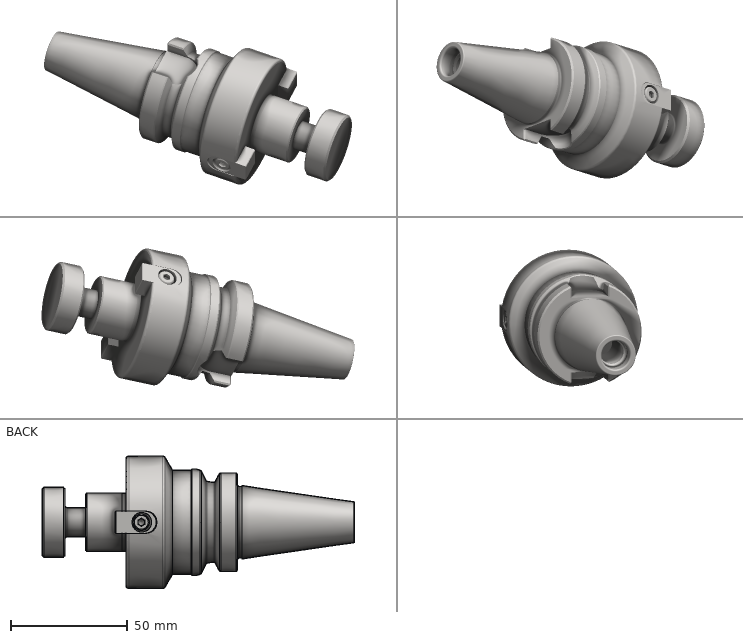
import cadquery as cq
import math

overall_length = 134.56

gauge_dia = 31.75
taper_length = 48.4
taper_ratio = 7 / 24
taper_tip_round = 0.5
tip_dia = gauge_dia - taper_length * taper_ratio

relief_radius = 15.5
relief_round = 0.7

flange_face = 2.0
flange_radius = 23.0
flange_chamfer = 0.7
groove_center = 13.6
groove_floor_width = 3.6
groove_floor_radius = 19.0
groove_wall_angle = 30.0
groove_round = 0.5
groove_rim_chamfer = 0.35
flange_end = 21.9
flange_end_chamfer = 0.3

body_radius = 22.5
head_radius = 57.15 / 2
head_cone_start = 30.0
head_cone_angle = 30.0
head_cone_round = 1.3
head_face = 50.0
head_face_round = 1.2
neck_dia = 25.0
neck_end = 51.7
neck_root_round = 0.4
pilot_dia = 25.4
pilot_end = 67.4
pilot_chamfer = 0.6

bore_mouth_round = 0.8
bore_dia = 12.5
bore_depth = 5.3
bore_undercut_dia = 13.1
bore_undercut_width = 1.9
bore_cone_dia = 12.0
thread_dia = 10.3
thread_depth = 30.0

slot_width = 16.1
slot_floor = 16.3
slot_end = 19.3
slot_chamfer = 0.6
slot_end_chamfer = 0.4

key_width = 9.5
key_inner = 18.0
key_outer = 28.0
seat_start = 36.7
seat_clearance = 0.3
key_start = seat_start + seat_clearance
key_end = 54.7
key_chamfer = 0.3

screw_x = 43.4
screw_pocket_dia = 8.4
screw_pocket_x = 43.2
screw_head_dia = 7.0
screw_head_height = 4.0
screw_head_top = 27.8
screw_head_chamfer = 0.5
screw_shank_dia = 4.0
screw_shank_length = 10.0
screw_seat = screw_head_top - screw_head_height
shank_tip = screw_seat - screw_shank_length
hex_flats = 3.0
hex_depth = 2.0
hex_turn = 30.0
hex_point_dia = 2.9
hex_point_angle = 30.0

retainer_shank_dia = 12.7
retainer_hole_depth = 25.0
retainer_head_dia = 30.18
retainer_head_start = 76.2
retainer_end = overall_length - taper_length
retainer_tip = pilot_end - retainer_hole_depth
retainer_chamfer = 0.8
retainer_root_round = 0.7

match_tolerance = 0.01


def cylinder_x(dia, start, end):
    """Cylinder on the X axis between two X positions."""
    return cq.Workplane("YZ", origin=(start, 0, 0)).circle(dia / 2).extrude(end - start)


def cylinder_y(dia, x, inner, outer):
    """Cylinder pointing to -Y at position x, from radius inner to radius outer."""
    return cq.Workplane("XZ", origin=(x, -inner, 0)).circle(dia / 2).extrude(outer - inner)


def circles_at(places):
    """Filter that keeps the circular edges around X at the given (x, radius) places."""
    def keep(edge):
        if edge.geomType() != "CIRCLE":
            return False
        return any(
            abs(edge.Center().x - x) < match_tolerance and abs(edge.radius() - radius) < match_tolerance
            for x, radius in places
        )

    return keep


def opposite_pair(shape):
    """A shape and its copy turned half way round the X axis."""
    return [shape.rotate((0, 0, 0), (1, 0, 0), angle) for angle in (0, 180)]


def turned_blank():
    groove_wall = (flange_radius - groove_floor_radius) * math.tan(math.radians(groove_wall_angle))
    floor_left = groove_center - groove_floor_width / 2
    floor_right = groove_center + groove_floor_width / 2
    top_left = floor_left - groove_wall
    top_right = floor_right + groove_wall
    cone_end = head_cone_start + (head_radius - body_radius) * math.tan(math.radians(head_cone_angle))
    arc_middle = relief_round * math.sqrt(0.5)
    outline = (
        cq.Workplane("XY")
        .moveTo(-taper_length, 0)
        .lineTo(-taper_length, tip_dia / 2)
        .lineTo(0, gauge_dia / 2)
        .lineTo(0, relief_radius)
        .lineTo(flange_face - relief_round, relief_radius)
        .threePointArc(
            (flange_face - relief_round + arc_middle, relief_radius + relief_round - arc_middle),
            (flange_face, relief_radius + relief_round),
        )
        .lineTo(flange_face, flange_radius - flange_chamfer)
        .lineTo(flange_face + flange_chamfer, flange_radius)
        .lineTo(top_left, flange_radius)
        .lineTo(floor_left, groove_floor_radius)
        .lineTo(floor_right, groove_floor_radius)
        .lineTo(top_right, flange_radius)
        .lineTo(flange_end - flange_end_chamfer, flange_radius)
        .lineTo(flange_end, body_radius)
        .lineTo(head_cone_start, body_radius)
        .lineTo(cone_end, head_radius)
        .lineTo(head_face, head_radius)
        .lineTo(head_face, neck_dia / 2)
        .lineTo(neck_end, neck_dia / 2)
        .lineTo(neck_end, pilot_dia / 2)
        .lineTo(pilot_end - pilot_chamfer, pilot_dia / 2)
        .lineTo(pilot_end, pilot_dia / 2 - pilot_chamfer)
        .lineTo(pilot_end, 0)
        .close()
    )
    blank = outline.revolve(360, (0, 0, 0), (1, 0, 0))
    rounds = [
        (taper_tip_round, [(-taper_length, tip_dia / 2)]),
        (groove_round, [(floor_left, groove_floor_radius), (floor_right, groove_floor_radius)]),
        (head_cone_round, [(cone_end, head_radius)]),
        (head_face_round, [(head_face, head_radius)]),
        (neck_root_round, [(head_face, neck_dia / 2)]),
    ]
    for radius, places in rounds:
        blank = blank.edges().filter(circles_at(places)).fillet(radius)
    groove_rims = circles_at([(top_left, flange_radius), (top_right, flange_radius)])
    return blank.edges().filter(groove_rims).chamfer(groove_rim_chamfer)


def pull_stud_bore():
    undercut_end = bore_depth + bore_undercut_width
    cone_end = undercut_end + (bore_cone_dia - thread_dia) / 2
    mouth_radius = bore_dia / 2 + bore_mouth_round
    arc_inset = bore_mouth_round * (1 - math.sqrt(0.5))
    bore = (
        cq.Workplane("XY")
        .moveTo(0, 0)
        .lineTo(0, mouth_radius)
        .threePointArc((arc_inset, bore_dia / 2 + arc_inset), (bore_mouth_round, bore_dia / 2))
        .lineTo(bore_depth, bore_dia / 2)
        .lineTo(bore_depth, bore_undercut_dia / 2)
        .lineTo(undercut_end, bore_undercut_dia / 2)
        .lineTo(undercut_end, bore_cone_dia / 2)
        .lineTo(cone_end, thread_dia / 2)
        .lineTo(thread_depth, thread_dia / 2)
        .lineTo(thread_depth, 0)
        .close()
        .revolve(360, (0, 0, 0), (1, 0, 0))
    )
    return bore.translate((-taper_length, 0, 0))


def driving_slot():
    """Round-ended slot cut into the flange from above, chamfered where it opens."""
    half = slot_width / 2
    arc_center = slot_end - half
    height = flange_radius - slot_floor
    slot = (
        cq.Workplane("XY", origin=(0, 0, slot_floor))
        .moveTo(flange_face, -half)
        .lineTo(arc_center, -half)
        .threePointArc((slot_end, 0), (arc_center, half))
        .lineTo(flange_face, half)
        .close()
        .extrude(height)
    )
    front_chamfer = (
        cq.Workplane("XY", origin=(0, 0, slot_floor))
        .polyline([
            (flange_face, -half - slot_chamfer),
            (flange_face + slot_chamfer, -half),
            (flange_face + slot_chamfer, half),
            (flange_face, half + slot_chamfer),
        ])
        .close()
        .extrude(height)
    )
    rim_z = math.sqrt(flange_radius**2 - (half + slot_chamfer) ** 2)
    rim_chamfer = (
        cq.Workplane("YZ", origin=(flange_face, 0, 0))
        .polyline([
            (-half, rim_z - slot_chamfer),
            (half, rim_z - slot_chamfer),
            (half + slot_chamfer, rim_z),
            (half + slot_chamfer, flange_radius),
            (-half - slot_chamfer, flange_radius),
            (-half - slot_chamfer, rim_z),
        ])
        .close()
        .extrude(groove_center - groove_floor_width / 2 - flange_face)
    )
    return slot.union(front_chamfer).union(rim_chamfer)


def is_slot_end_rim(edge):
    """True for the curved rim where the round end of a driving slot breaks out of the flange."""
    box = edge.BoundingBox()
    on_rim = max(-box.zmin, box.zmax) > flange_radius - match_tolerance
    reaches_end = abs(box.xmax - slot_end) < match_tolerance
    lies_along_x = box.xlen > match_tolerance
    return on_rim and reaches_end and lies_along_x


def key_outline(start, end):
    """Key shape seen along Y: round at the start and square at the end, on the key's inner face."""
    half = key_width / 2
    return (
        cq.Workplane("XZ", origin=(0, -key_inner, 0))
        .moveTo(end, -half)
        .lineTo(start + half, -half)
        .threePointArc((start, 0), (start + half, half))
        .lineTo(end, half)
        .close()
    )


def make_holder():
    holder = turned_blank().cut(pull_stud_bore())
    key_seat = key_outline(seat_start, head_face).extrude(head_radius - key_inner)
    screw_hole = cylinder_y(screw_shank_dia, screw_x, shank_tip, key_inner)
    for slot in opposite_pair(driving_slot()):
        holder = holder.cut(slot)
    holder = holder.edges().filter(is_slot_end_rim).chamfer(slot_end_chamfer)
    for cutter in opposite_pair(key_seat) + opposite_pair(screw_hole):
        holder = holder.cut(cutter)
    return holder.cut(cylinder_x(retainer_shank_dia, retainer_tip, pilot_end))


def make_key():
    key = key_outline(key_start, key_end).extrude(key_outer - key_inner)
    key = key.faces(">X").edges().chamfer(key_chamfer)
    key = key.cut(cylinder_y(screw_pocket_dia, screw_pocket_x, screw_seat, key_outer))
    return key.cut(cylinder_y(screw_shank_dia, screw_x, key_inner, screw_seat))


def make_key_screw():
    head = cylinder_y(screw_head_dia, screw_x, screw_seat, screw_head_top)
    head = head.faces("<Y").edges().chamfer(screw_head_chamfer)
    hex_corners = hex_flats / math.cos(math.pi / 6)
    socket = (
        cq.Workplane("XZ", origin=(screw_x, -screw_head_top + hex_depth, 0))
        .polygon(6, hex_corners)
        .extrude(hex_depth)
        .rotate((screw_x, 0, 0), (screw_x, 1, 0), hex_turn)
    )
    shank = cylinder_y(screw_shank_dia, screw_x, shank_tip, screw_seat)
    point_depth = hex_point_dia / 2 * math.tan(math.radians(hex_point_angle))
    point = cq.Workplane(cq.Solid.makeCone(
        hex_point_dia / 2, 0, point_depth,
        cq.Vector(screw_x, -screw_head_top + hex_depth, 0), cq.Vector(0, 1, 0),
    ))
    return head.union(shank).cut(socket).cut(point)


def make_retaining_screw():
    head = cylinder_x(retainer_head_dia, retainer_head_start, retainer_end)
    head = head.faces("<X or >X").edges().chamfer(retainer_chamfer)
    shank = cylinder_x(retainer_shank_dia, retainer_tip, retainer_head_start)
    screw = head.union(shank)
    root = circles_at([(retainer_head_start, retainer_shank_dia / 2)])
    return screw.edges().filter(root).fillet(retainer_root_round)


holder = make_holder()
keys = opposite_pair(make_key())
key_screws = opposite_pair(make_key_screw())
retaining_screw = make_retaining_screw()

result = cq.Compound.makeCompound([
    holder.val(),
    *[key.val() for key in keys],
    *[screw.val() for screw in key_screws],
    retaining_screw.val(),
])